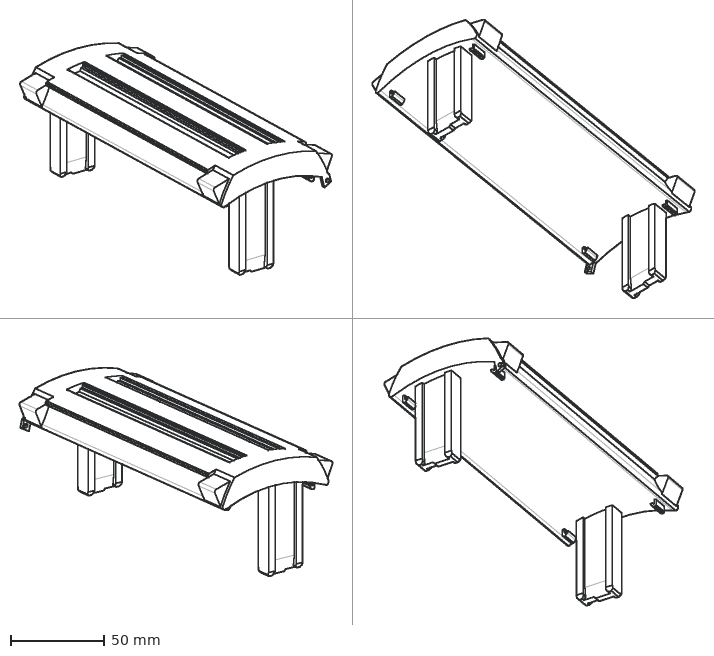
import cadquery as cq
import math

length = 179.3
overall_height = 67.0

top_radius = 96.1
deck_thickness = 14.0
bottom_radius = top_radius - deck_thickness
cap_length = 16.5
shoulder_y = 27.5
side_foot = (35.0, -18.1)
corner_mid = (35.1, -20.0)
deck_low = (33.9, -21.2)
side_bulge = 0.4
soffit_y = 32.0

lip_y = 32.8
lip_chamfer = 0.7
lip_height = 1.3
hollow_top = (30.5, -8.8)
hollow_mid = (32.5, -13.5)

slot_center_y = 12.9
slot_rim_half = 5.7
slot_step_half = 4.5
slot_neck_half = 3.0
slot_floor_half = 2.2
slot_ledge_depth = 1.3
slot_step_depth = 2.7
slot_floor_depth = 4.3
slot_clearance = 1.8

block_inset = 1.8
block_root_y = 28.9
block_top_z = -6.3
block_corner = (39.8, -9.3)
block_foot = (35.3, -19.7)
block_inner = (28.7, -16.1)
block_fillet = 1.5

leg_inset = 3.8
leg_thickness = 9.5
leg_front_y = -20.8
leg_back_y = 2.0
flange_width = 4.3
web_recess = 1.8
front_flange_rise = 1.0
web_taper_height = 8.5
web_taper_inset = 1.0
web_step_y = -10.4
tip_height = 2.7
tip_inset = 1.0
tip_chamfer = 1.3
leg_top_z = -7.2

hook_inset = 4.8
hook_length = 8.5
hook_outline = [
    (29.5, -18.0), (29.5, -23.0), (29.0, -23.7), (27.8, -23.7), (26.5, -22.2),
    (26.0, -21.0), (27.3, -21.0), (28.0, -21.7), (28.3, -21.2), (28.3, -18.0),
]

tab_thickness = 2.0
tab_corners = [(33.9, -18.0), (36.2, -19.7), (37.5, -24.2), (33.0, -26.7), (31.4, -20.5), (31.4, -18.0)]
tab_hole_center = (35.0, -23.1)
tab_hole_radius = 1.0

half_length = length / 2
middle_length = length - 2 * cap_length


def arc_z(radius, crown_z, y):
    """Height at y of an arc about the deck axis whose crown is at crown_z."""
    return crown_z - radius + math.sqrt(radius**2 - y**2)


def top_point(y):
    return (y, arc_z(top_radius, 0, y))


def soffit_point(y):
    return (y, arc_z(bottom_radius, -deck_thickness, y))


def mirrored(point):
    return (-point[0], point[1])


def section(x):
    """Sketch plane across the bridge: local axes are Y and Z, extruding along +X."""
    return cq.Workplane("YZ", origin=(x, 0, 0))


def both_ends(solid):
    return solid.union(solid.mirror("YZ"))


def both_sides(solid):
    return solid.union(solid.mirror("XZ"))


def finish_deck_section(sketch):
    """Continue a section under the deck, from the lower end of its +Y side to that of its -Y side."""
    return (
        sketch.threePointArc(corner_mid, deck_low)
        .lineTo(*soffit_point(soffit_y))
        .threePointArc((0, -deck_thickness), soffit_point(-soffit_y))
        .lineTo(*mirrored(deck_low))
        .threePointArc(mirrored(corner_mid), mirrored(side_foot))
    )


def make_cap():
    shoulder = top_point(shoulder_y)
    side_mid = (
        (shoulder[0] + side_foot[0]) / 2 + side_bulge,
        (shoulder[1] + side_foot[1]) / 2 + side_bulge,
    )
    sketch = (
        section(-half_length)
        .moveTo(*mirrored(shoulder))
        .threePointArc((0, 0), shoulder)
        .threePointArc(side_mid, side_foot)
    )
    sketch = finish_deck_section(sketch).threePointArc(mirrored(side_mid), mirrored(shoulder))
    return sketch.close().extrude(cap_length)


def make_middle():
    lip_top = top_point(lip_y - lip_chamfer)
    lip_edge = (lip_y, lip_top[1] - lip_chamfer)
    lip_under = (lip_y, lip_edge[1] - lip_height)
    sketch = (
        section(-half_length + cap_length)
        .moveTo(*mirrored(lip_top))
        .threePointArc((0, 0), lip_top)
        .lineTo(*lip_edge)
        .lineTo(*lip_under)
        .lineTo(*hollow_top)
        .threePointArc(hollow_mid, side_foot)
    )
    sketch = (
        finish_deck_section(sketch)
        .threePointArc(mirrored(hollow_mid), mirrored(hollow_top))
        .lineTo(*mirrored(lip_under))
        .lineTo(*mirrored(lip_edge))
    )
    return sketch.close().extrude(middle_length)


def make_slot():
    """Slot cutter, shaped at the crown and then swung about the deck axis."""
    half_outline = [
        (slot_rim_half, slot_clearance),
        (slot_rim_half, -slot_ledge_depth),
        (slot_step_half, -slot_ledge_depth),
        (slot_step_half, -slot_step_depth),
        (slot_neck_half, -slot_step_depth),
        (slot_floor_half, -slot_floor_depth),
    ]
    outline = half_outline + [mirrored(point) for point in reversed(half_outline)]
    swing = math.degrees(math.asin(slot_center_y / top_radius))
    cutter = section(-half_length + cap_length).polyline(outline).close().extrude(middle_length)
    return cutter.rotate((0, 0, -top_radius), (1, 0, -top_radius), swing)


def make_block():
    outline = [(block_root_y, block_top_z), block_corner, block_foot, block_inner]
    block = section(-half_length + block_inset).polyline(outline).close().extrude(cap_length - block_inset)
    return block.edges("|X").edges(">Y").fillet(block_fillet)


def tapered_plate(x_low, x_high, y_low, y_high, bottom_z, taper_height, taper_inset):
    """Upright plate whose foot narrows in X on both faces."""
    taper_top = bottom_z + taper_height
    return (
        cq.Workplane("XZ", origin=(0, y_high, 0))
        .polyline([
            (x_low, leg_top_z), (x_low, taper_top), (x_low + taper_inset, bottom_z),
            (x_high - taper_inset, bottom_z), (x_high, taper_top), (x_high, leg_top_z),
        ])
        .close()
        .extrude(y_high - y_low)
    )


def make_flange(y_low, bottom_z):
    """Flange standing on a tip that narrows in both directions."""
    y_high = y_low + flange_width
    chamfer_top = bottom_z + tip_chamfer
    x_low = -half_length + leg_inset
    x_high = x_low + leg_thickness
    side = (
        section(x_low)
        .polyline([
            (y_low, leg_top_z), (y_low, chamfer_top), (y_low + tip_chamfer, bottom_z),
            (y_high - tip_chamfer, bottom_z), (y_high, chamfer_top), (y_high, leg_top_z),
        ])
        .close()
        .extrude(leg_thickness)
    )
    front = tapered_plate(x_low, x_high, y_low, y_high, bottom_z, tip_height, tip_inset)
    return side.intersect(front)


def make_leg():
    bottom_z = -overall_height
    front_bottom_z = bottom_z + front_flange_rise
    back_flange = make_flange(leg_back_y - flange_width, bottom_z)
    front_flange = make_flange(leg_front_y, front_bottom_z)

    x_low = -half_length + leg_inset + web_recess
    x_high = x_low + leg_thickness - 2 * web_recess
    y_low = leg_front_y + flange_width / 2
    y_high = leg_back_y - flange_width / 2
    web = tapered_plate(x_low, x_high, y_low, y_high, bottom_z, web_taper_height, web_taper_inset)
    foot_notch = (
        section(x_low)
        .polyline([
            (web_step_y, bottom_z), (web_step_y - front_flange_rise, front_bottom_z),
            (y_low, front_bottom_z), (y_low, bottom_z),
        ])
        .close()
        .extrude(leg_thickness)
    )
    return back_flange.union(front_flange).union(web.cut(foot_notch))


def make_hook():
    return section(-half_length + hook_inset).polyline(hook_outline).close().extrude(hook_length)


def make_tab():
    tab_start = section(half_length - tab_thickness)
    hole = tab_start.center(*tab_hole_center).circle(tab_hole_radius).extrude(tab_thickness)
    plate = tab_start.polyline(tab_corners).close().extrude(tab_thickness)
    return plate.cut(hole)


result = make_middle().cut(both_sides(make_slot()))
result = result.union(both_ends(make_cap()))
result = result.union(both_ends(both_sides(make_block())))
result = result.union(both_ends(both_sides(make_hook())))
result = result.union(both_ends(make_leg()))
result = result.union(make_tab())